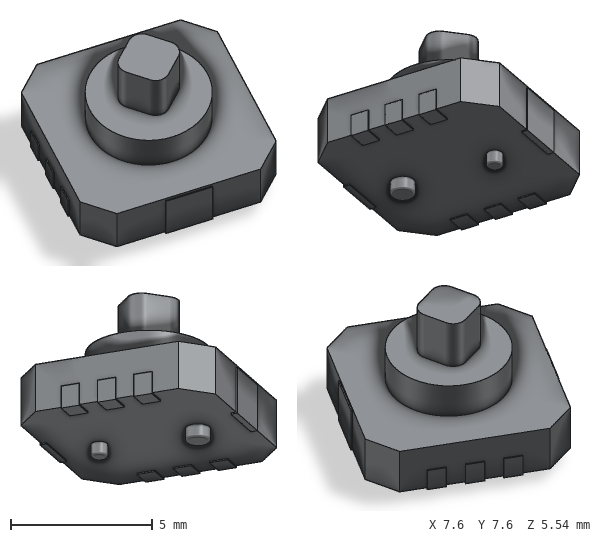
import cadquery as cq

overall_width = 7.6
plate_thickness = 0.05
base_width = overall_width - 2 * plate_thickness
base_height = 1.8
base_corner_cut = 1.0

collar_diameter = 4.5
collar_height = 1.345
stem_width = 1.9
stem_corner_radius = 0.5
stem_height = 1.9

small_peg_diameter = 0.6
large_peg_diameter = 0.9
peg_offset = 1.9
peg_length = 0.5
peg_tip_radius = 0.1

terminal_width = 0.7
terminal_pitch = 1.4
terminal_count = 3
terminal_rise = 0.8
terminal_foot_length = 0.8
side_plate_width = 1.8
side_plate_gap_below_top = 0.1
side_plate_rise = base_height - side_plate_gap_below_top
side_plate_foot_length = 0.25


def make_peg(x, diameter):
    """Round peg hanging below the base, with a rounded tip edge."""
    return (
        cq.Workplane("XY")
        .center(x, 0)
        .circle(diameter / 2)
        .extrude(-peg_length)
        .faces("<Z")
        .fillet(peg_tip_radius)
    )


def make_housing():
    """Base, collar, stem and pegs as one solid."""
    base = (
        cq.Workplane("XY")
        .rect(base_width, base_width)
        .extrude(base_height)
        .edges("|Z")
        .chamfer(base_corner_cut)
    )
    collar = (
        cq.Workplane("XY", origin=(0, 0, base_height))
        .circle(collar_diameter / 2)
        .extrude(collar_height)
    )
    stem = (
        cq.Workplane("XY")
        .rect(stem_width, stem_width)
        .extrude(stem_height)
        .edges("|Z")
        .fillet(stem_corner_radius)
        .rotate((0, 0, 0), (0, 0, 1), 45)
        .translate((0, 0, base_height + collar_height))
    )
    small_peg = make_peg(-peg_offset, small_peg_diameter)
    large_peg = make_peg(peg_offset, large_peg_diameter)
    return base.union(collar).union(stem).union(small_peg).union(large_peg)


def make_plate(width, rise, foot_length, offset, turn):
    """L-shaped plate on the base's -Y side, shifted along X, then turned about Z in degrees."""
    outer = -overall_width / 2
    inner = -base_width / 2
    profile = [
        (outer, -plate_thickness),
        (outer + foot_length, -plate_thickness),
        (outer + foot_length, 0),
        (inner, 0),
        (inner, rise),
        (outer, rise),
    ]
    return (
        cq.Workplane("YZ")
        .polyline(profile)
        .close()
        .extrude(width / 2, both=True)
        .translate((offset, 0, 0))
        .rotate((0, 0, 0), (0, 0, 1), turn)
    )


def make_terminals():
    """A row of terminals on the -Y side and another on the +Y side."""
    terminals = []
    for turn in (0, 180):
        for index in range(terminal_count):
            offset = (index - (terminal_count - 1) / 2) * terminal_pitch
            terminals.append(make_plate(terminal_width, terminal_rise, terminal_foot_length, offset, turn))
    return terminals


def make_side_plates():
    """One wide plate on the +X side and one on the -X side."""
    side_plates = []
    for turn in (90, -90):
        side_plates.append(make_plate(side_plate_width, side_plate_rise, side_plate_foot_length, 0, turn))
    return side_plates


housing = make_housing()
terminals = make_terminals()
side_plates = make_side_plates()

result = cq.Compound.makeCompound(
    [
        housing.val(),
        *[terminal.val() for terminal in terminals],
        *[side_plate.val() for side_plate in side_plates],
    ]
)